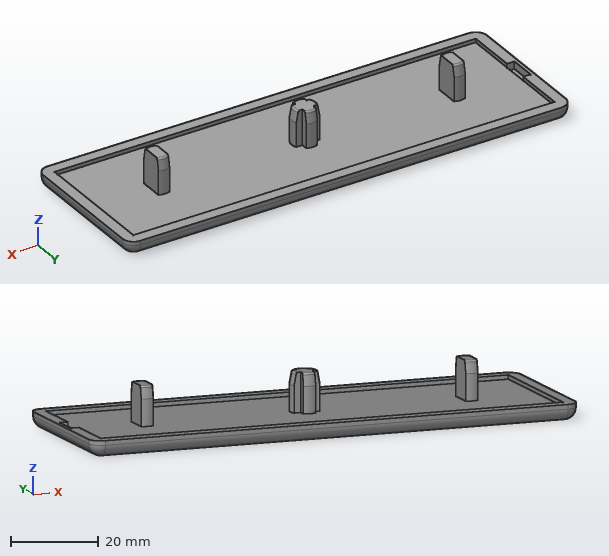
import cadquery as cq
import math

length = 120.0
width = 40.0
plate_height = 4.0
edge_radius = 3.0

rim_width = 3.0
recess_depth = 1.0
floor_z = plate_height - recess_depth

notch_width = 7.0
notch_wall = 1.0
notch_depth = 2.0

total_height = 12.5
pin_radius = 3.5
taper_height = 3.0
taper_angle = 10.0
tip_radius = pin_radius - taper_height * math.tan(math.radians(taper_angle))
tip_fillet = 0.5
blade_thickness = 3.0
side_pin_spacing = 80.0


def make_plate():
    """Plate with rounded corners and underside, recessed inside its rim."""
    plate = cq.Workplane("XY").box(length, width, plate_height, centered=(True, True, False))
    plate = plate.edges("|Z").fillet(edge_radius)
    plate = plate.faces("<Z").edges().fillet(edge_radius)
    recess = (
        cq.Workplane("XY")
        .workplane(offset=floor_z)
        .rect(length - 2 * rim_width, width - 2 * rim_width)
        .extrude(recess_depth)
    )
    return plate.cut(recess)


def make_notch():
    """Block removed from the -X rim, between its outer wall and the recess."""
    notch_length = rim_width - notch_wall
    return (
        cq.Workplane("XY")
        .box(notch_length, notch_width, notch_depth, centered=(False, True, False))
        .translate((notch_wall - length / 2, 0, plate_height - notch_depth))
    )


def make_round_pin():
    """Full round pin standing on the recess floor."""
    taper_z = total_height - taper_height
    profile = (
        cq.Workplane("XZ")
        .moveTo(0, floor_z)
        .lineTo(pin_radius, floor_z)
        .lineTo(pin_radius, taper_z)
        .lineTo(tip_radius, total_height)
        .lineTo(0, total_height)
        .close()
    )
    pin = profile.revolve(360, (0, 0, 0), (0, 1, 0))
    return pin.faces(">Z").edges().fillet(tip_fillet)


def make_blade():
    """Slice of the round pin, thin along X and wide along Y."""
    slab = cq.Workplane("XY").box(blade_thickness, 2 * pin_radius, total_height, centered=(True, True, False))
    return make_round_pin().intersect(slab)


def make_center_pin():
    """Cross-shaped pin made of two perpendicular blades."""
    blade = make_blade()
    return blade.union(blade.rotate((0, 0, 0), (0, 0, 1), 90))


result = make_plate().cut(make_notch()).union(make_center_pin())
for side in (-1, 1):
    side_pin = make_blade()
    result = result.union(side_pin.translate((side * side_pin_spacing / 2, 0, 0)))